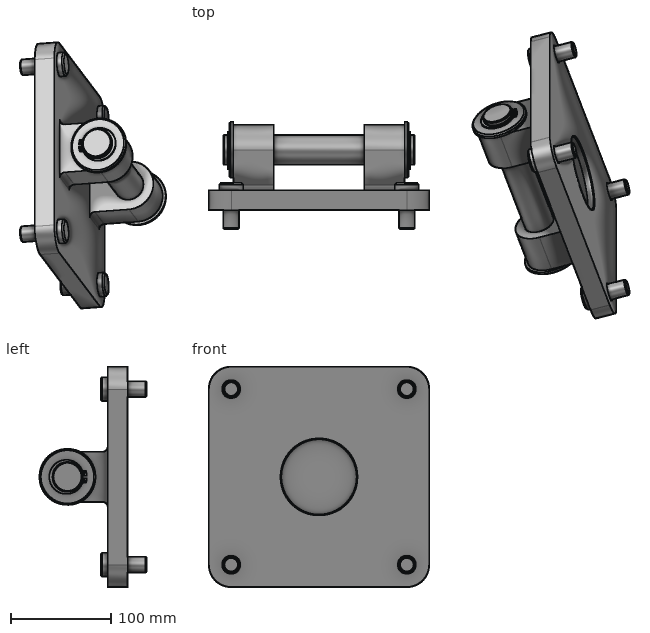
import cadquery as cq


PLATE_SIZE = 220.0
PLATE_THICKNESS = 20.0
PLATE_CORNER_RADIUS = 22.5
RECESS_DIAMETER = 75.0
RECESS_DEPTH = 7.0
RECESS_CHAMFER = 1.0

LUG_INNER_X = 44.9
LUG_WIDTH = 40.5
LUG_RADIUS = 25.0
LUG_BASE_FILLET = 5.0
LUG_OUTER_X = LUG_INNER_X + LUG_WIDTH

BOLT_DIAMETER = 16.0
BOLT_HOLE_DIAMETER = 18.0
BOLT_HEAD_DIAMETER = 24.0
BOLT_HEAD_HEIGHT = 7.0
BOLT_HEAD_CHAMFER = 1.8
BOLT_PROTRUSION = 19.0
BOLT_TIP_CHAMFER = 1.3
BOLT_OFFSET = PLATE_SIZE / 2 - PLATE_CORNER_RADIUS
BOLT_POSITIONS = [(x, z) for x in (-BOLT_OFFSET, BOLT_OFFSET) for z in (-BOLT_OFFSET, BOLT_OFFSET)]

PIN_DIAMETER = 30.0
PIN_LENGTH = 191.0
PIN_CHAMFER = 1.0
PIN_AXIS_Y = 40.0

WASHER_DIAMETER = 56.0
WASHER_BORE = 31.0
WASHER_THICKNESS = 4.0
WASHER_CHAMFER = 1.5

RING_BORE = 28.5
RING_DIAMETER = 34.0
RING_THICKNESS = 1.5
RING_ECCENTRICITY = 1.0
RING_GAP = 2.5
EAR_REACH = 19.4
EAR_SPAN = 11.9
EAR_CORNER_RADIUS = 0.9
EAR_BLEND_RADIUS = 2.2
EAR_HOLE_DIAMETER = 2.0
EAR_HOLE_SPACING = 7.0
EAR_HOLE_REACH = 16.3
RING_INNER_X = LUG_OUTER_X + WASHER_THICKNESS


def plane_across_pin(x):
    """Sketch plane at the given X, origin on the pin axis: local x is +Y, local y is +Z."""
    return cq.Workplane("YZ", origin=(x, PIN_AXIS_Y, 0))


def plane_along_plate(y):
    """Sketch plane at the given Y: local x is +X, local y is +Z, and it extrudes toward -Y."""
    return cq.Workplane("XZ", origin=(0, y, 0))


def both_ends(body):
    """The body at the +X end of the pin and its mirror image at the -X end."""
    return [body, body.mirror("YZ")]


def make_lug():
    """Lug on the +X side: round nose, flat sides and a foot flared by concave fillets."""
    foot_y = -PIN_AXIS_Y
    flare_y = foot_y + LUG_BASE_FILLET
    foot_half = LUG_RADIUS + LUG_BASE_FILLET
    fillet_mid = LUG_BASE_FILLET * (1 - 0.5 ** 0.5)
    return (
        plane_across_pin(LUG_INNER_X)
        .moveTo(foot_y, -foot_half)
        .threePointArc((foot_y + fillet_mid, -LUG_RADIUS - fillet_mid), (flare_y, -LUG_RADIUS))
        .lineTo(0, -LUG_RADIUS)
        .threePointArc((LUG_RADIUS, 0), (0, LUG_RADIUS))
        .lineTo(flare_y, LUG_RADIUS)
        .threePointArc((foot_y + fillet_mid, LUG_RADIUS + fillet_mid), (foot_y, foot_half))
        .close()
        .extrude(LUG_WIDTH)
    )


def make_bracket():
    """Plate and its two lugs, with bolt holes, the round recess and the pin bores."""
    plate = plane_along_plate(0).rect(PLATE_SIZE, PLATE_SIZE).extrude(PLATE_THICKNESS)
    plate = plate.edges("|Y").fillet(PLATE_CORNER_RADIUS)

    bolt_holes = (
        plane_along_plate(0)
        .pushPoints(BOLT_POSITIONS)
        .circle(BOLT_HOLE_DIAMETER / 2)
        .extrude(PLATE_THICKNESS)
    )
    recess = plane_along_plate(RECESS_DEPTH - PLATE_THICKNESS).circle(RECESS_DIAMETER / 2)
    recess = recess.extrude(RECESS_DEPTH)
    plate = plate.cut(bolt_holes).cut(recess)
    recess_rim = cq.selectors.RadiusNthSelector(-1)
    plate = plate.faces("<Y").edges("%CIRCLE").edges(recess_rim).chamfer(RECESS_CHAMFER)

    for lug in both_ends(make_lug()):
        plate = plate.union(lug)
    pin_bore = plane_across_pin(-LUG_OUTER_X).circle(PIN_DIAMETER / 2).extrude(2 * LUG_OUTER_X)
    return plate.cut(pin_bore)


def make_bolt(x, z):
    """Bolt with its head on the lug face of the plate and its shank out through the other side."""
    head = plane_along_plate(BOLT_HEAD_HEIGHT).circle(BOLT_HEAD_DIAMETER / 2).extrude(BOLT_HEAD_HEIGHT)
    head = head.faces(">Y").chamfer(BOLT_HEAD_CHAMFER)
    shank = plane_along_plate(0).circle(BOLT_DIAMETER / 2).extrude(PLATE_THICKNESS + BOLT_PROTRUSION)
    shank = shank.faces("<Y").chamfer(BOLT_TIP_CHAMFER)
    return head.union(shank).translate((x, 0, z))


def make_pin():
    """Pin with chamfered ends and a retaining groove near each end."""
    pin = plane_across_pin(-PIN_LENGTH / 2).circle(PIN_DIAMETER / 2).extrude(PIN_LENGTH)
    pin = pin.faces("<X or >X").chamfer(PIN_CHAMFER)
    groove = (
        plane_across_pin(RING_INNER_X).circle(PIN_DIAMETER / 2).circle(RING_BORE / 2).extrude(RING_THICKNESS)
    )
    for end_groove in both_ends(groove):
        pin = pin.cut(end_groove)
    return pin


def make_washer():
    """Washer at the +X end, with its outward rim chamfered."""
    washer = plane_across_pin(LUG_OUTER_X).circle(WASHER_DIAMETER / 2).extrude(WASHER_THICKNESS)
    washer = washer.faces(">X").chamfer(WASHER_CHAMFER)
    bore = plane_across_pin(LUG_OUTER_X).circle(WASHER_BORE / 2).extrude(WASHER_THICKNESS)
    return washer.cut(bore)


def make_retaining_ring():
    """Eccentric open ring at the +X end, with its gap and two drilled ears toward the plate."""
    band = plane_across_pin(RING_INNER_X).center(RING_ECCENTRICITY, 0).circle(RING_DIAMETER / 2)
    band = band.extrude(RING_THICKNESS)
    ears = plane_across_pin(RING_INNER_X).center(-EAR_REACH / 2, 0).rect(EAR_REACH, EAR_SPAN)
    ears = ears.extrude(RING_THICKNESS)
    ear_limit = plane_across_pin(RING_INNER_X).circle(EAR_REACH).extrude(RING_THICKNESS)
    ears = ears.intersect(ear_limit).edges("|X").edges("<Y").fillet(EAR_CORNER_RADIUS)
    ring = band.union(ears)
    ear_roots = cq.selectors.BoxSelector(
        (RING_INNER_X, PIN_AXIS_Y - EAR_HOLE_REACH, -EAR_SPAN),
        (RING_INNER_X + RING_THICKNESS, PIN_AXIS_Y, EAR_SPAN),
    )
    ring = ring.edges("|X").edges(ear_roots).fillet(EAR_BLEND_RADIUS)
    bore = plane_across_pin(RING_INNER_X).circle(RING_BORE / 2).extrude(RING_THICKNESS)
    gap = plane_across_pin(RING_INNER_X).center(-EAR_REACH / 2, 0).rect(EAR_REACH, RING_GAP)
    gap = gap.extrude(RING_THICKNESS)
    hole_half = EAR_HOLE_SPACING / 2
    ear_holes = (
        plane_across_pin(RING_INNER_X)
        .pushPoints([(-EAR_HOLE_REACH, -hole_half), (-EAR_HOLE_REACH, hole_half)])
        .circle(EAR_HOLE_DIAMETER / 2)
        .extrude(RING_THICKNESS)
    )
    return ring.cut(bore).cut(gap).cut(ear_holes)


bracket = make_bracket()
pin = make_pin()
bolts = [make_bolt(x, z) for x, z in BOLT_POSITIONS]
washers = both_ends(make_washer())
retaining_rings = both_ends(make_retaining_ring())

result = cq.Compound.makeCompound(
    [body.val() for body in [bracket, pin, *bolts, *washers, *retaining_rings]]
)